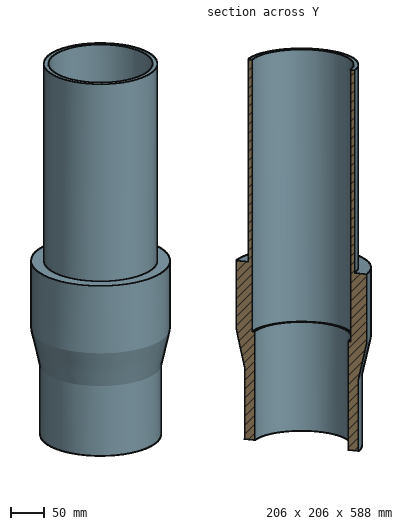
import cadquery as cq

total_height = 588.0
spigot_height = 111.0
taper_height = 57.0
collar_height = 107.0

spigot_radius = 90.0
collar_radius = 103.0
tube_radius = 84.0
lower_bore_radius = 73.5
upper_bore_radius = 77.0

taper_top = spigot_height + taper_height
collar_top = taper_top + collar_height
bore_step = taper_top

wall_section = [
    (lower_bore_radius, 0),
    (spigot_radius, 0),
    (spigot_radius, spigot_height),
    (collar_radius, taper_top),
    (collar_radius, collar_top),
    (tube_radius, collar_top),
    (tube_radius, total_height),
    (upper_bore_radius, total_height),
    (upper_bore_radius, bore_step),
    (lower_bore_radius, bore_step),
]

result = (
    cq.Workplane("XZ")
    .polyline(wall_section)
    .close()
    .revolve(360, (0, 0, 0), (0, 1, 0))
)